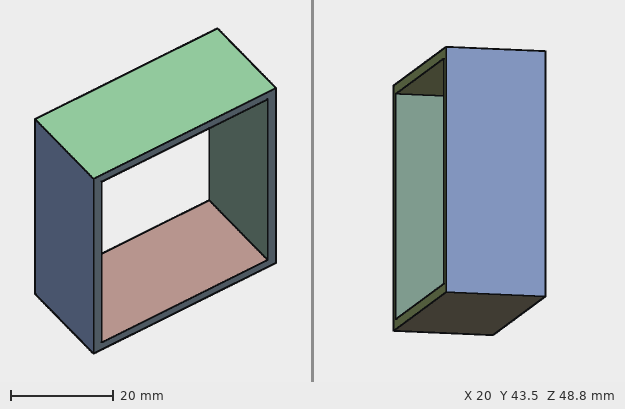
import cadquery as cq

depth = 20.0
width = 43.5
height = 48.75
wall = 2.0

opening_width = width - 2 * wall
opening_height = height - 2 * wall

outer_block = cq.Workplane("XY").box(depth, width, height)
opening = cq.Workplane("XY").box(depth, opening_width, opening_height)

result = outer_block.cut(opening)